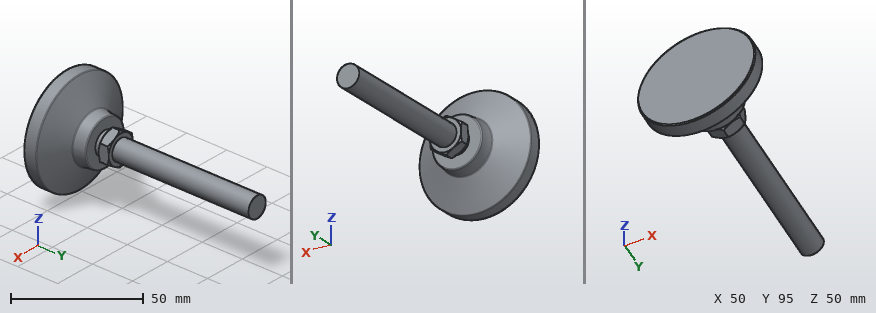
import cadquery as cq
import math

TOTAL_LENGTH = 95.0

FOOT_DIAMETER = 50.0
SOLE_CHAMFER = 0.5
RIM_TOP = 6.3
RIM_ROUND = 0.5
COLLAR_BASE = 13.0
COLLAR_TOP = 19.0
COLLAR_BASE_DIAMETER = 23.75
COLLAR_TOP_DIAMETER = 22.2
COLLAR_HOLLOW = 0.2
COLLAR_ROUND = 0.5

ROD_DIAMETER = 10.0
NECK_DIAMETER = 11.0
HEX_ACROSS_FLATS = 14.0
HEX_BASE = 21.9
HEX_TOP = 27.0
HEX_CHAMFER_ANGLE = 30.0

SELECTION_MARGIN = 0.1
HEX_ACROSS_CORNERS = HEX_ACROSS_FLATS / math.cos(math.radians(30))


def edges_at_height(height):
    """Selector for the foot's circular edges centred on the axis at a given height."""
    return cq.selectors.BoxSelector(
        (-FOOT_DIAMETER, height - SELECTION_MARGIN, -FOOT_DIAMETER),
        (FOOT_DIAMETER, height + SELECTION_MARGIN, FOOT_DIAMETER),
    )


def make_foot():
    """Turned foot: chamfered sole, rim, cone and flared collar."""
    foot_radius = FOOT_DIAMETER / 2
    base_radius = COLLAR_BASE_DIAMETER / 2
    top_radius = COLLAR_TOP_DIAMETER / 2
    flare_middle = (
        (base_radius + top_radius) / 2 - COLLAR_HOLLOW,
        (COLLAR_BASE + COLLAR_TOP) / 2,
    )
    foot = (
        cq.Workplane("XY")
        .lineTo(foot_radius - SOLE_CHAMFER, 0)
        .lineTo(foot_radius, SOLE_CHAMFER)
        .lineTo(foot_radius, RIM_TOP)
        .lineTo(base_radius, COLLAR_BASE)
        .threePointArc(flare_middle, (top_radius, COLLAR_TOP))
        .lineTo(0, COLLAR_TOP)
        .close()
        .revolve(360, (0, 0, 0), (0, 1, 0))
    )
    foot = foot.edges(edges_at_height(RIM_TOP)).fillet(RIM_ROUND)
    foot = foot.edges(edges_at_height(COLLAR_BASE)).fillet(COLLAR_ROUND)
    return foot.faces(">Y").edges().fillet(COLLAR_ROUND)


def cylinder_along_y(diameter, start, end):
    """Solid cylinder on the Y axis between two heights."""
    return cq.Workplane("XZ", origin=(0, start, 0)).circle(diameter / 2).extrude(start - end)


def make_hex():
    """Hexagon with corners on +Z and -Z, chamfered at both ends."""
    corner_radius = HEX_ACROSS_CORNERS / 2
    flat_radius = HEX_ACROSS_FLATS / 2
    chamfer_height = (corner_radius - flat_radius) * math.tan(math.radians(HEX_CHAMFER_ANGLE))
    prism = (
        cq.Workplane("XZ", origin=(0, HEX_BASE, 0))
        .transformed(rotate=(0, 0, 90))
        .polygon(6, HEX_ACROSS_CORNERS)
        .extrude(HEX_BASE - HEX_TOP)
    )
    chamfer_envelope = (
        cq.Workplane("XY")
        .moveTo(0, HEX_BASE)
        .lineTo(flat_radius, HEX_BASE)
        .lineTo(corner_radius, HEX_BASE + chamfer_height)
        .lineTo(corner_radius, HEX_TOP - chamfer_height)
        .lineTo(flat_radius, HEX_TOP)
        .lineTo(0, HEX_TOP)
        .close()
        .revolve(360, (0, 0, 0), (0, 1, 0))
    )
    return prism.intersect(chamfer_envelope)


def make_spindle():
    """Neck standing on the collar, wrench hexagon and long rod."""
    neck = cylinder_along_y(NECK_DIAMETER, COLLAR_TOP, HEX_BASE)
    rod = cylinder_along_y(ROD_DIAMETER, HEX_TOP, TOTAL_LENGTH)
    return neck.union(make_hex()).union(rod)


foot = make_foot()
spindle = make_spindle()

result = cq.Compound.makeCompound([foot.val(), spindle.val()])